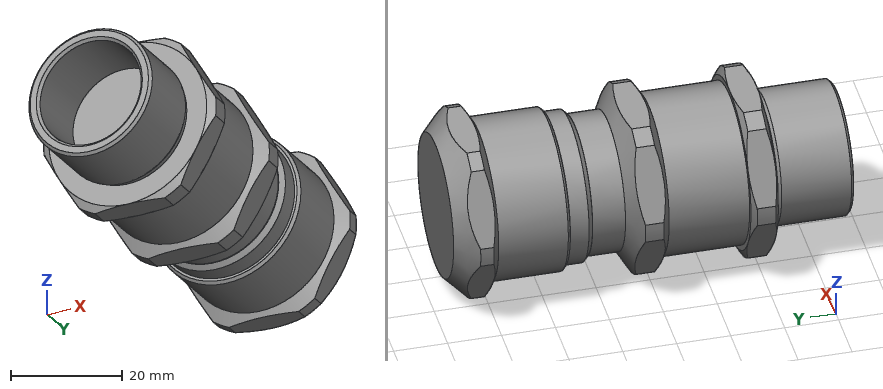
import cadquery as cq
import math

length = 74.5
across_flats = 32.0
corner_diameter = 35.0

spigot_diameter = 25.0
relief_diameter = 24.0
body_diameter = 30.0
neck_diameter = 26.0
collar_diameter = 28.0
cap_end_diameter = 26.8
bore_diameter = 20.5

spigot_end = 14.0
entry_hex_start = 15.0
entry_hex_end = 20.05
middle_hex_start = 34.95
middle_hex_end = 42.55
collar_start = 48.65
collar_end = 53.1
cap_hex_start = 66.5

edge_chamfer = 0.5
collar_chamfer = 0.9
bore_depth = 13.3

entry_bevel = 0.8
middle_front_bevel = 1.6
middle_back_bevel = 2.6
cap_front_bevel = 1.5
cap_back_bevel = 4.0


def disc(diameter, start, end):
    """Round solid on the Y axis between two stations."""
    plane = cq.Plane(origin=(0, start, 0), xDir=(1, 0, 0), normal=(0, 1, 0))
    return cq.Workplane(plane).circle(diameter / 2).extrude(end - start)


def hex_nut(start, end, front_diameter, back_diameter, front_bevel, back_bevel):
    """Hexagon with rounded corners, bevelled by a cone at each end; two flats face +Z and -Z."""
    corner_radius = corner_diameter / 2
    envelope = (
        cq.Workplane("XY")
        .polyline([
            (0, start),
            (front_diameter / 2, start),
            (corner_radius, start + front_bevel),
            (corner_radius, end - back_bevel),
            (back_diameter / 2, end),
            (0, end),
        ])
        .close()
        .revolve(360, (0, 0, 0), (0, 1, 0))
    )
    plane = cq.Plane(origin=(0, start, 0), xDir=(1, 0, 0), normal=(0, 1, 0))
    across_points = across_flats / math.cos(math.radians(30))
    prism = cq.Workplane(plane).polygon(6, across_points).extrude(end - start)
    return envelope.intersect(prism)


spigot = disc(spigot_diameter, 0, spigot_end).edges().chamfer(edge_chamfer)
relief = disc(relief_diameter, spigot_end, entry_hex_start)

body = disc(body_diameter, entry_hex_end, middle_hex_start)
neck = disc(neck_diameter, middle_hex_end, collar_start)
collar = disc(collar_diameter, collar_start, collar_end).faces("<Y").edges().chamfer(collar_chamfer)
cap_body = disc(body_diameter, collar_end, cap_hex_start).faces("<Y").edges().chamfer(edge_chamfer)

entry_hex = hex_nut(
    entry_hex_start, entry_hex_end, across_flats, across_flats, entry_bevel, entry_bevel
)
middle_hex = hex_nut(
    middle_hex_start, middle_hex_end, body_diameter, neck_diameter, middle_front_bevel, middle_back_bevel
)
cap_hex = hex_nut(
    cap_hex_start, length, body_diameter, cap_end_diameter, cap_front_bevel, cap_back_bevel
)

result = spigot
for section in (relief, entry_hex, body, middle_hex, neck, collar, cap_body, cap_hex):
    result = result.union(section)

result = result.cut(disc(bore_diameter, 0, bore_depth))
mouth_edge = cq.selectors.RadiusNthSelector(0)
result = result.faces("<Y").edges(mouth_edge).chamfer(edge_chamfer)